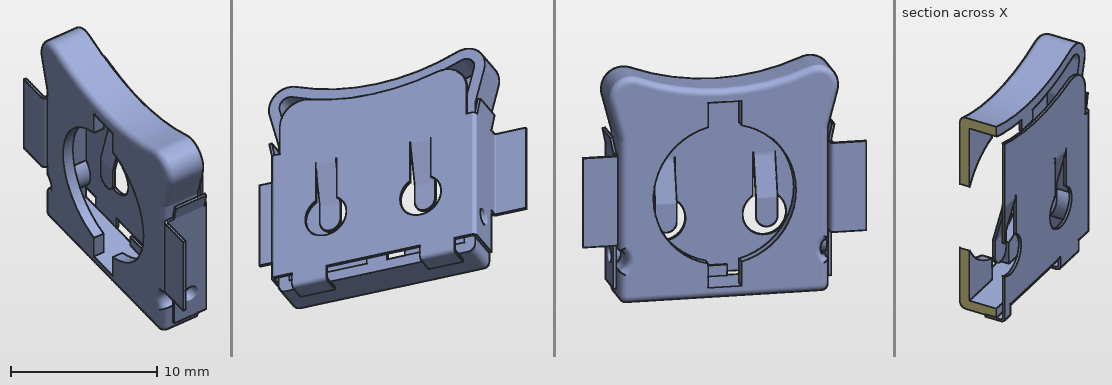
import cadquery as cq
import math


HOUSING_HALF_WIDTH = 7.3
HOUSING_DEPTH = 2.9
WALL = 0.8
EDGE_RADIUS = 0.5
EAR_RADIUS = 1.5
EAR_X = 6.54
HOUSING_HEIGHT = 16.09
EAR_Z = HOUSING_HEIGHT - EAR_RADIUS
HOUSING_DIP_Z = 14.84
FLARE_START_Z = 11.6

OPENING_RADIUS = 5.0
KEYWAY_HALF_WIDTH = 1.17
KEYWAY_BOTTOM = WALL
KEYWAY_TOP = 13.95
OPENING_Z = (KEYWAY_BOTTOM + KEYWAY_TOP) / 2

LIP_WIDTH = 1.5
LIP_HEIGHT = 0.77
LIP_THICKNESS = 0.2

DETENT_RADIUS = 0.8
DETENT_X = 7.59
DETENT_Z = 3.01

SHEET = 0.2
CLIP_BACK = 3.55
PLATE_FRONT = CLIP_BACK - SHEET
SIDE_INNER_X = 7.43
SIDE_OUTER_X = SIDE_INNER_X + SHEET
BACK_BEND = 0.1
WING_BEND = 0.05
BACK_BEND_Y = PLATE_FRONT - BACK_BEND
CLIP_BOTTOM = 0.91
SIDE_TOP = 10.54
SIDE_FRONT = 0.77
PLATE_HALF_WIDTH = 6.93
PLATE_CORNER_RADIUS = 1.7
PLATE_CORNER_X = PLATE_HALF_WIDTH - PLATE_CORNER_RADIUS
PLATE_CORNER_Z = 12.7
PLATE_DIP_Z = 13.69

WING_TIP_X = 9.9
WING_BOTTOM = 4.2

TAB_RISE = 1.17
TAB_LEAN = 0.24

FOOT_INNER_X = 3.49
FOOT_OUTER_X = 6.05
FOOT_FRONT = 2.02
SEAT_DEPTH = 0.04
FOOT_BOTTOM = SEAT_DEPTH - SHEET

FINGER_X = 3.53
FINGER_WIDTH = 1.5
FINGER_ROOT_Z = 9.23
FINGER_SLOPE_TOP = 8.97
FINGER_SLOPE_BOTTOM = 6.22
FINGER_FLAT_TOP = 6.15
FINGER_TIP_Z = 4.87
FINGER_FRONT = 2.6
FINGER_GAP = 0.05
WINDOW_RADIUS = 1.53

DIMPLE_Y = 2.1
DIMPLE_RADIUS = 0.75
DIMPLE_RIM = 0.08

SIDES = (-1, 1)


def block(x0, x1, y0, y1, z0, z1):
    """Box between two corners."""
    return cq.Workplane("XY").box(x1 - x0, y1 - y0, z1 - z0, centered=False).translate((x0, y0, z0))


def front_sketch(y):
    """Vertical workplane at depth y, with local coordinates (X, Z) and extruding towards -Y."""
    return cq.Workplane("XZ", origin=(0, y, 0))


def mirrored(body):
    """The body together with its mirror image across X = 0."""
    return body.union(body.mirror("YZ"))


def dip_tangent(corner_x, corner_z, corner_radius, dip_z):
    """Point where a corner arc meets the concave top arc that is tangent to both corners."""
    drop = dip_z - corner_z
    dip_radius = (corner_x**2 + drop**2 - corner_radius**2) / (2 * (corner_radius - drop))
    share = corner_radius / (corner_radius + dip_radius)
    return corner_x * (1 - share), corner_z + share * (dip_radius + drop)


def arc_point(center_x, center_z, radius, angle):
    """Point on a circle at an angle measured from +X."""
    return center_x + radius * math.cos(angle), center_z + radius * math.sin(angle)



def housing_outline():
    """Closed front outline with sharp bottom corners, flared sides, round ears and a concave top."""
    top_x, top_z = dip_tangent(EAR_X, EAR_Z, EAR_RADIUS, HOUSING_DIP_Z)
    run_x = HOUSING_HALF_WIDTH - EAR_X
    run_z = FLARE_START_Z - EAR_Z
    flare_angle = math.atan2(run_z, run_x) + math.acos(EAR_RADIUS / math.hypot(run_x, run_z))
    side_x, side_z = arc_point(EAR_X, EAR_Z, EAR_RADIUS, flare_angle)
    mid_x, mid_z = arc_point(EAR_X, EAR_Z, EAR_RADIUS, math.pi / 4)
    return (
        front_sketch(HOUSING_DEPTH)
        .moveTo(-HOUSING_HALF_WIDTH, 0)
        .lineTo(HOUSING_HALF_WIDTH, 0)
        .lineTo(HOUSING_HALF_WIDTH, FLARE_START_Z)
        .lineTo(side_x, side_z)
        .threePointArc((mid_x, mid_z), (top_x, top_z))
        .threePointArc((0, HOUSING_DIP_Z), (-top_x, top_z))
        .threePointArc((-mid_x, mid_z), (-side_x, side_z))
        .lineTo(-HOUSING_HALF_WIDTH, FLARE_START_Z)
        .close()
    )


def detent_groove(side):
    """Round groove along Y that flares out at the front face."""
    flare_radius = DETENT_RADIUS + EDGE_RADIUS
    mid = EDGE_RADIUS * (1 - math.sqrt(0.5))
    return (
        cq.Workplane("XY")
        .moveTo(0, 0)
        .lineTo(flare_radius, 0)
        .threePointArc((DETENT_RADIUS + mid, mid), (DETENT_RADIUS, EDGE_RADIUS))
        .lineTo(DETENT_RADIUS, HOUSING_DEPTH)
        .lineTo(0, HOUSING_DEPTH)
        .close()
        .revolve(360, (0, 0, 0), (0, 1, 0))
        .translate((side * DETENT_X, 0, DETENT_Z))
    )


def cell_cavity():
    """Recess open at the back that leaves an even wall, also around the detent grooves."""
    cavity = housing_outline().offset2D(-WALL).extrude(HOUSING_DEPTH - WALL)
    for side in SIDES:
        groove_wall = (
            front_sketch(HOUSING_DEPTH)
            .center(side * DETENT_X, DETENT_Z)
            .circle(DETENT_RADIUS + WALL)
            .extrude(HOUSING_DEPTH)
        )
        cavity = cavity.cut(groove_wall)
    return cavity


def front_opening():
    """Round opening with a keyway above and below, through the front wall."""
    opening = front_sketch(WALL).center(0, OPENING_Z).circle(OPENING_RADIUS).extrude(WALL)
    keyway = block(-KEYWAY_HALF_WIDTH, KEYWAY_HALF_WIDTH, 0, WALL, KEYWAY_BOTTOM, KEYWAY_TOP)
    return opening.union(keyway)


def retaining_lips():
    """Small lips at the back edge that reach into the cavity from its floor and its ceiling."""
    lip_front = HOUSING_DEPTH - LIP_THICKNESS
    half = LIP_WIDTH / 2
    root = WALL / 2
    lower_top = KEYWAY_BOTTOM + LIP_HEIGHT
    upper_bottom = KEYWAY_TOP - LIP_HEIGHT
    lower = block(-half, half, lip_front, HOUSING_DEPTH, WALL - root, lower_top)
    upper = block(-half, half, lip_front, HOUSING_DEPTH, upper_bottom, HOUSING_DIP_Z - root)
    return lower.union(upper)


def make_housing():
    body = housing_outline().extrude(HOUSING_DEPTH)
    corner_edges = body.edges("|Y").edges("<Z")
    body = body.faces("<Y").edges().add(corner_edges).fillet(EDGE_RADIUS)
    body = body.cut(cell_cavity()).cut(front_opening())
    for side in SIDES:
        body = body.cut(detent_groove(side))
    body = body.cut(mirrored(sole()))
    return body.union(retaining_lips())



def quarter_bend(plane, center, inner_radius, first_sign, second_sign, length):
    """Quarter ring of sheet in one quadrant of the plane, extruded along its normal."""
    outer = inner_radius + SHEET
    sketch = cq.Workplane(plane).center(*center)
    ring = sketch.circle(outer).circle(inner_radius).extrude(length)
    quadrant = (
        sketch.center(first_sign * outer / 2, second_sign * outer / 2).rect(outer, outer).extrude(length)
    )
    return ring.intersect(quadrant)


def back_plate():
    """Flat back with rounded upper corners and a concave top; wider between the two sides."""
    top_x, top_z = dip_tangent(PLATE_CORNER_X, PLATE_CORNER_Z, PLATE_CORNER_RADIUS, PLATE_DIP_Z)
    mid_x, mid_z = arc_point(PLATE_CORNER_X, PLATE_CORNER_Z, PLATE_CORNER_RADIUS, math.pi / 4)
    bend_x = SIDE_INNER_X - BACK_BEND
    return (
        front_sketch(CLIP_BACK)
        .moveTo(-bend_x, CLIP_BOTTOM)
        .lineTo(bend_x, CLIP_BOTTOM)
        .lineTo(bend_x, SIDE_TOP)
        .lineTo(PLATE_HALF_WIDTH, SIDE_TOP)
        .lineTo(PLATE_HALF_WIDTH, PLATE_CORNER_Z)
        .threePointArc((mid_x, mid_z), (top_x, top_z))
        .threePointArc((0, PLATE_DIP_Z), (-top_x, top_z))
        .threePointArc((-mid_x, mid_z), (-PLATE_HALF_WIDTH, PLATE_CORNER_Z))
        .lineTo(-PLATE_HALF_WIDTH, SIDE_TOP)
        .lineTo(-bend_x, SIDE_TOP)
        .close()
        .extrude(SHEET)
    )


def side_wall():
    """Right side of the clip: back bend, wall, front bend and soldering wing."""
    back_bend = quarter_bend(
        cq.Plane((0, 0, CLIP_BOTTOM)),
        (SIDE_INNER_X - BACK_BEND, BACK_BEND_Y), BACK_BEND, 1, 1, SIDE_TOP - CLIP_BOTTOM,
    )
    wing_bend_x = SIDE_OUTER_X + WING_BEND
    wing_bend_y = SHEET + WING_BEND
    wing_bend = quarter_bend(
        cq.Plane((0, 0, WING_BOTTOM)),
        (wing_bend_x, wing_bend_y), WING_BEND, -1, -1, SIDE_TOP - WING_BOTTOM,
    )
    wall = block(SIDE_INNER_X, SIDE_OUTER_X, SIDE_FRONT, BACK_BEND_Y, CLIP_BOTTOM, SIDE_TOP)
    wing_root = block(SIDE_INNER_X, SIDE_OUTER_X, wing_bend_y, SIDE_FRONT, WING_BOTTOM, SIDE_TOP)
    wing = block(wing_bend_x, WING_TIP_X, 0, SHEET, WING_BOTTOM, SIDE_TOP)
    return wall.union(back_bend).union(wing_root).union(wing_bend).union(wing)


def leaning_tab():
    """Tab on top of the right side wall that leans outwards."""
    angle = math.atan2(TAB_LEAN, TAB_RISE)
    tip_x = SIDE_INNER_X + TAB_LEAN
    tip_z = SIDE_TOP + TAB_RISE
    return (
        front_sketch(BACK_BEND_Y)
        .moveTo(SIDE_INNER_X, SIDE_TOP)
        .lineTo(tip_x, tip_z)
        .lineTo(tip_x + SHEET * math.cos(angle), tip_z - SHEET * math.sin(angle))
        .lineTo(SIDE_OUTER_X, SIDE_TOP)
        .close()
        .extrude(BACK_BEND_Y - SIDE_FRONT)
    )


def sole():
    """Flat part of the right foot, under the housing."""
    return block(FOOT_INNER_X, FOOT_OUTER_X, FOOT_FRONT, BACK_BEND_Y, FOOT_BOTTOM, SEAT_DEPTH)


def foot():
    """Right foot: a leg below the back plate, bent forward under the housing."""
    bend_z = SEAT_DEPTH + BACK_BEND
    leg = block(FOOT_INNER_X, FOOT_OUTER_X, PLATE_FRONT, CLIP_BACK, bend_z, CLIP_BOTTOM)
    bend = quarter_bend(
        cq.Plane((FOOT_INNER_X, 0, 0), (0, 1, 0), (1, 0, 0)),
        (BACK_BEND_Y, bend_z), BACK_BEND, 1, -1, FOOT_OUTER_X - FOOT_INNER_X,
    )
    return leg.union(bend).union(sole())


def finger_window():
    """Round window and slot cut around the right contact finger."""
    half = FINGER_WIDTH / 2
    window = front_sketch(CLIP_BACK).center(FINGER_X, FINGER_TIP_Z).circle(WINDOW_RADIUS).extrude(SHEET)
    slot = block(
        FINGER_X - half - FINGER_GAP, FINGER_X + half,
        PLATE_FRONT, CLIP_BACK, FINGER_TIP_Z, FINGER_ROOT_Z,
    )
    return window.union(slot)


def contact_finger():
    """Right contact finger: slopes forward from its root and ends in a flat round tip."""
    root_height = FINGER_ROOT_Z - FINGER_SLOPE_TOP
    tip_height = FINGER_SLOPE_BOTTOM - FINGER_FLAT_TOP
    slope_height = FINGER_SLOPE_TOP - FINGER_SLOPE_BOTTOM + (root_height + tip_height) / 2
    slope = math.atan2(PLATE_FRONT - FINGER_FRONT, slope_height)
    root_radius = root_height / math.sin(slope)
    tip_radius = tip_height / math.sin(slope)
    root_shift = root_radius * (1 - math.cos(slope))
    tip_shift = tip_radius * (1 - math.cos(slope))
    finger_back = FINGER_FRONT + SHEET
    half = FINGER_WIDTH / 2
    tip_bottom = FINGER_TIP_Z - half
    strip = (
        cq.Workplane("YZ", origin=(FINGER_X - half, 0, 0))
        .moveTo(PLATE_FRONT, FINGER_ROOT_Z)
        .radiusArc((PLATE_FRONT - root_shift, FINGER_SLOPE_TOP), root_radius)
        .lineTo(FINGER_FRONT + tip_shift, FINGER_SLOPE_BOTTOM)
        .radiusArc((FINGER_FRONT, FINGER_FLAT_TOP), -tip_radius)
        .lineTo(FINGER_FRONT, tip_bottom)
        .lineTo(finger_back, tip_bottom)
        .lineTo(finger_back, FINGER_FLAT_TOP)
        .radiusArc((finger_back + tip_shift, FINGER_SLOPE_BOTTOM), tip_radius)
        .lineTo(CLIP_BACK - root_shift, FINGER_SLOPE_TOP)
        .radiusArc((CLIP_BACK, FINGER_ROOT_Z), -root_radius)
        .close()
        .extrude(FINGER_WIDTH)
    )
    outline = (
        front_sketch(CLIP_BACK)
        .moveTo(FINGER_X - half, FINGER_ROOT_Z)
        .lineTo(FINGER_X - half, FINGER_TIP_Z)
        .threePointArc((FINGER_X, tip_bottom), (FINGER_X + half, FINGER_TIP_Z))
        .lineTo(FINGER_X + half, FINGER_ROOT_Z)
        .close()
        .extrude(CLIP_BACK)
    )
    return strip.intersect(outline)


def add_dimple(wall):
    """Press a hollow dimple with a rounded rim into the right wall, reaching into the groove."""
    center = (DETENT_X, DIMPLE_Y, DETENT_Z)
    bulge = cq.Workplane("XY").sphere(DIMPLE_RADIUS).translate(center)
    outside = block(SIDE_OUTER_X, WING_TIP_X, 0, CLIP_BACK, 0, SIDE_TOP)
    hollow = cq.Workplane("XY").sphere(DIMPLE_RADIUS - SHEET).translate(center)
    rim = cq.selectors.RadiusNthSelector(0)
    dimpled = wall.union(bulge.cut(outside)).cut(hollow)
    return dimpled.faces(">X[-2]").edges("%CIRCLE").edges(rim).fillet(DIMPLE_RIM)


def make_clip():
    half = add_dimple(side_wall()).union(leaning_tab()).union(foot())
    plate = back_plate().cut(mirrored(finger_window()))
    return plate.union(mirrored(half)).union(mirrored(contact_finger()))


housing = make_housing()
clip = make_clip()
result = cq.Compound.makeCompound([housing.val(), clip.val()])